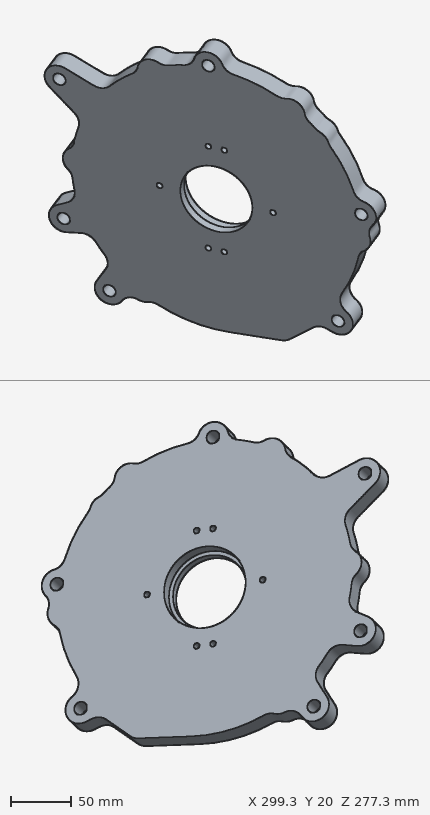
import cadquery as cq
import math

thickness = 20.0
body_radius = 130.5
belly_sag = 1.0
lug_radius = 13.5
lug_hole_diameter = 11.5
pad_radius = 13.2
fillet_radius = 12.0
wide_fillet_radius = 13.8
flank_fillet_radius = 13.0

bore_diameter = 65.0
seat_diameter = 72.0
seat_depth = 12.0

pin_hole_diameter = 5.0
pin_hole_offset = 51.2
pin_pair_spacing = 14.5

left_upper_lug = (-141.5, 83.0)
top_lug = (-7.2, 132.3)
right_lug = (130.8, 19.5)
right_lower_lug = (110.0, -93.5)
bottom_lug = (-96.5, -118.0)
left_lower_lug = (-137.7, -56.3)
lugs = [left_upper_lug, top_lug, right_lug, right_lower_lug, bottom_lug, left_lower_lug]

top_left_pad = (-58.0, 111.5)
top_right_pad = (66.7, 105.5)
upper_right_pad = (88.5, 80.0)
right_pad = (126.0, -5.7)
bottom_right_pad = (57.8, -113.5)
bottom_left_pad = (-66.0, -107.8)
left_pad = (-125.5, 4.5)

right_lower_hollow = (95.5, -116.0)

left_upper_flank_top = 137.5
left_upper_flank_bottom = 162.5
left_lower_flank_top = 191.2
left_lower_flank_bottom = 213.6
bottom_flank = 219.3


def lug(centre):
    return (*centre, lug_radius)


def pad(centre):
    return (*centre, pad_radius)


def touching_fillet(first, second, radius=fillet_radius):
    """Hollow arc touching two successive rim circles from outside."""
    dx = second[0] - first[0]
    dz = second[1] - first[1]
    gap = math.hypot(dx, dz)
    reach_first = first[2] + radius
    reach_second = second[2] + radius
    along = (gap**2 + reach_first**2 - reach_second**2) / (2 * gap)
    across = math.sqrt(reach_first**2 - along**2)
    x = first[0] + (along * dx - across * dz) / gap
    z = first[1] + (along * dz + across * dx) / gap
    return (x, z, -radius)


def flank_fillet(angle):
    """Hollow arc touching the body circle at an angle, where a straight lug flank meets it."""
    reach = body_radius + flank_fillet_radius
    x = reach * math.cos(math.radians(angle))
    z = reach * math.sin(math.radians(angle))
    return (x, z, -flank_fillet_radius)


def tangent_points(first, second):
    """Ends of the straight line tangent to two successive rim circles."""
    dx = second[0] - first[0]
    dz = second[1] - first[1]
    slope = max(-1.0, min(1.0, (first[2] - second[2]) / math.hypot(dx, dz)))
    normal = math.atan2(dz, dx) + math.acos(slope)
    return [
        (x + radius * math.cos(normal), z + radius * math.sin(normal))
        for x, z, radius in (first, second)
    ]


def arc_middle(circle, start, end):
    """Point halfway along a rim arc, on a clockwise bulge or a counter-clockwise hollow."""
    x, z, radius = circle
    start_angle = math.atan2(start[1] - z, start[0] - x)
    end_angle = math.atan2(end[1] - z, end[0] - x)
    turn = math.copysign(1, radius)
    sweep = (turn * (start_angle - end_angle)) % (2 * math.pi)
    middle = start_angle - turn * sweep / 2
    return (x + abs(radius) * math.cos(middle), z + abs(radius) * math.sin(middle))


body = (0, 0, body_radius)
belly = (0, -belly_sag, body_radius)


def bump(circle):
    """A rim circle rising from the body, with a fillet on each side, then the body again."""
    return [
        touching_fillet(body, circle),
        circle,
        touching_fillet(circle, body),
        body,
    ]


rim = [
    lug(left_upper_lug),
    flank_fillet(left_upper_flank_top),
    body,
    *bump(pad(top_left_pad)),
    *bump(lug(top_lug)),
    *bump(pad(top_right_pad)),
    *bump(pad(upper_right_pad)),
    touching_fillet(body, lug(right_lug)),
    lug(right_lug),
    touching_fillet(lug(right_lug), pad(right_pad)),
    pad(right_pad),
    touching_fillet(pad(right_pad), body),
    body,
    touching_fillet(body, lug(right_lower_lug), wide_fillet_radius),
    lug(right_lower_lug),
    (*right_lower_hollow, -flank_fillet_radius),
    pad(bottom_right_pad),
    belly,
    touching_fillet(belly, pad(bottom_left_pad)),
    pad(bottom_left_pad),
    touching_fillet(pad(bottom_left_pad), lug(bottom_lug)),
    lug(bottom_lug),
    flank_fillet(bottom_flank),
    body,
    flank_fillet(left_lower_flank_bottom),
    lug(left_lower_lug),
    flank_fillet(left_lower_flank_top),
    body,
    *bump(pad(left_pad)),
    flank_fillet(left_upper_flank_bottom),
]


def make_plate():
    lines = [tangent_points(rim[i - 1], rim[i]) for i in range(len(rim))]
    shortest_line = 0.03
    outline = cq.Workplane("XZ").moveTo(*lines[0][1])
    position = lines[0][1]
    for i, circle in enumerate(rim):
        next_start, next_end = lines[(i + 1) % len(rim)]
        outline = outline.threePointArc(arc_middle(circle, position, next_start), next_start)
        position = next_start
        if math.dist(next_start, next_end) > shortest_line:
            outline = outline.lineTo(*next_end)
            position = next_end
    return outline.close().extrude(-thickness)


def cylinder_cuts(centres, diameter, depth):
    """Cylinders reaching from the -Y face into the plate."""
    return cq.Workplane("XZ").pushPoints(centres).circle(diameter / 2).extrude(-depth)


half_pair = pin_pair_spacing / 2
pin_holes = [(-pin_hole_offset, 0), (pin_hole_offset, 0)]
for side in (-1, 1):
    pin_holes += [(-half_pair, side * pin_hole_offset), (half_pair, side * pin_hole_offset)]

seat = cylinder_cuts([(0, 0)], seat_diameter, seat_depth).translate((0, thickness - seat_depth, 0))

result = (
    make_plate()
    .cut(cylinder_cuts([(0, 0)], bore_diameter, thickness))
    .cut(seat)
    .cut(cylinder_cuts(lugs, lug_hole_diameter, thickness))
    .cut(cylinder_cuts(pin_holes, pin_hole_diameter, thickness))
)